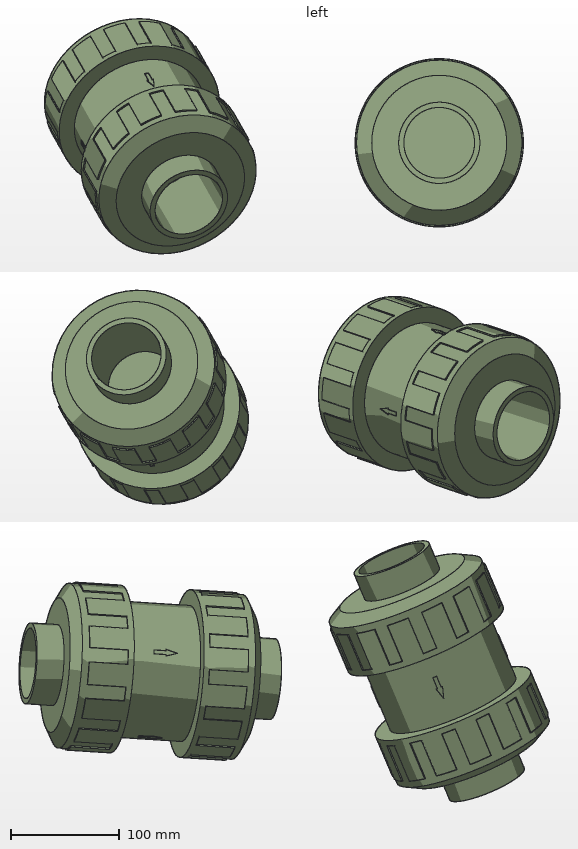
import cadquery as cq
import math

length = 231.0
middle = length / 2

pipe_radius = 37.5
bore_radius = 32.5
bore_depth = 80.8

body_radius = 62.8

nut_radius = 155.0 / 2
grip_height = 1.5
nut_shoulder_radius = nut_radius - grip_height
nut_face_radius = 62.1
nut_outer_face = 25.5
nut_chamfer_end = 33.7
grip_start = 40.5
groove_end = 77.0
nut_inner_face = 82.5

grip_count = 14
grip_pitch = 360 / grip_count
groove_angle = 10.0

arrow_count = 4
arrow_height = 0.7
arrow_length = 22.0
arrow_head_length = 10.9
arrow_shaft_half_width = 1.8
arrow_head_half_width = 3.2


def cylinder(radius, start, end):
    """Solid cylinder on the flow axis between two X positions."""
    return cq.Workplane("YZ", origin=(start, 0, 0)).circle(radius).extrude(end - start)


def groove_sector(angle):
    """Wedge that clears one groove, its first wall at +Z before turning about the flow axis."""
    reach = 2 * nut_radius
    sweep = math.radians(groove_angle)
    sector = (
        cq.Workplane("YZ", origin=(grip_start, 0, 0))
        .lineTo(0, reach)
        .lineTo(reach * math.sin(sweep), reach * math.cos(sweep))
        .close()
        .extrude(groove_end - grip_start)
    )
    return sector.rotate((0, 0, 0), (1, 0, 0), angle)


def union_nut():
    """Nut at the X = 0 end: a chamfered core carrying a grooved grip."""
    core_profile = [
        (nut_outer_face, 0),
        (nut_outer_face, nut_face_radius),
        (nut_chamfer_end, nut_shoulder_radius),
        (nut_inner_face, nut_shoulder_radius),
        (nut_inner_face, 0),
    ]
    core = cq.Workplane("XY").polyline(core_profile).close().revolve(360, (0, 0, 0), (1, 0, 0))
    grip = cylinder(nut_radius, grip_start, nut_inner_face)
    for index in range(grip_count):
        grip = grip.cut(groove_sector(index * grip_pitch))
    return core.union(grip)


def flow_arrow(angle):
    """Raised arrow pointing along +X, its top face concentric with the body."""
    tail = middle - arrow_length / 2
    tip = middle + arrow_length / 2
    head = tip - arrow_head_length
    outline = [
        (tail, -arrow_shaft_half_width),
        (head, -arrow_shaft_half_width),
        (head, -arrow_head_half_width),
        (tip, 0),
        (head, arrow_head_half_width),
        (head, arrow_shaft_half_width),
        (tail, arrow_shaft_half_width),
    ]
    prism = cq.Workplane("XY").polyline(outline).close().extrude(nut_radius)
    arrow = prism.intersect(cylinder(body_radius + arrow_height, tail, tip))
    return arrow.rotate((0, 0, 0), (1, 0, 0), angle)


left_nut = union_nut()
right_nut = left_nut.rotate((middle, 0, 0), (middle, 0, 1), 180)

result = cylinder(pipe_radius, 0, length)
result = result.union(cylinder(body_radius, nut_chamfer_end, length - nut_chamfer_end))
result = result.union(left_nut).union(right_nut)
for index in range(arrow_count):
    result = result.union(flow_arrow(index * 360 / arrow_count))

result = result.cut(cylinder(bore_radius, 0, bore_depth))
result = result.cut(cylinder(bore_radius, length - bore_depth, length))